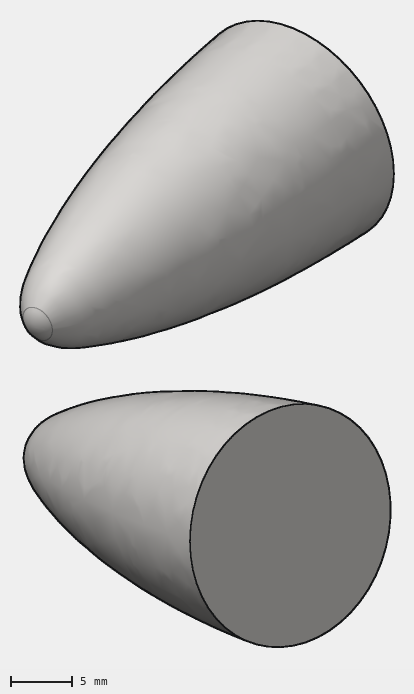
import cadquery as cq
import math

length = 35.0
base_diameter = 20.0
base_radius = base_diameter / 2

cap_radius = 1.5
cap_height = 0.63
cap_sphere_radius = (cap_radius**2 + cap_height**2) / (2 * cap_height)

flank_stations = [(2.9, 2.1), (4.2, 4.65), (6.0, 9.7), (7.88, 17.3), (9.28, 26.15)]


def cap_point(angle):
    """Point on the tip sphere at an angle away from the axis."""
    return (
        cap_sphere_radius * math.sin(angle),
        cap_sphere_radius * (1 - math.cos(angle)),
    )


cap_angle = math.asin(cap_radius / cap_sphere_radius)
flank_points = flank_stations + [(base_radius, length)]

profile = (
    cq.Workplane("XY")
    .moveTo(0, 0)
    .threePointArc(cap_point(cap_angle / 2), cap_point(cap_angle))
    .spline(flank_points, includeCurrent=True)
    .lineTo(0, length)
    .close()
)

result = profile.revolve(360, (0, 0, 0), (0, 1, 0))